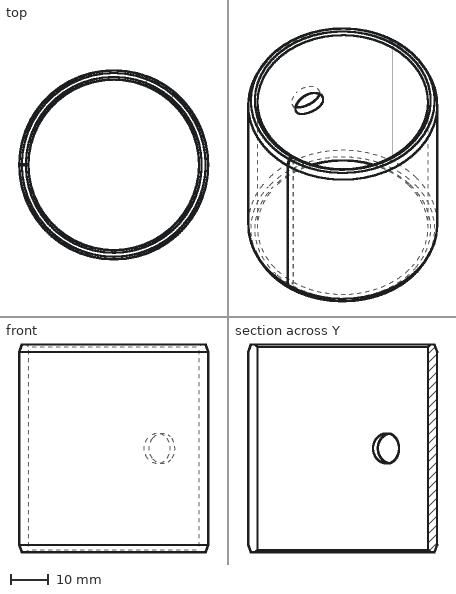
import cadquery as cq

length = 55.0
outer_diameter = 50.0
wall = 2.5
outer_chamfer_height = 2.0
outer_chamfer_depth = 0.7
inner_chamfer_height = 0.65
inner_chamfer_depth = 0.7
slit_width = 0.3
hole_diameter = 8.0
hole_angle = 59.0

outer_radius = outer_diameter / 2
inner_radius = outer_radius - wall


def bushing_sleeve():
    """Revolve the wall section, with chamfered corners at both ends."""
    half = length / 2
    face_outer = outer_radius - outer_chamfer_depth
    face_inner = inner_radius + inner_chamfer_depth
    outer_shoulder = half - outer_chamfer_height
    inner_shoulder = half - inner_chamfer_height
    section = (
        cq.Workplane("XZ")
        .moveTo(inner_radius, -inner_shoulder)
        .lineTo(face_inner, -half)
        .lineTo(face_outer, -half)
        .lineTo(outer_radius, -outer_shoulder)
        .lineTo(outer_radius, outer_shoulder)
        .lineTo(face_outer, half)
        .lineTo(face_inner, half)
        .lineTo(inner_radius, inner_shoulder)
        .close()
    )
    return section.revolve(360, (0, 0), (0, 1))


def slit_cutter():
    """Thin full-length slot through the wall on the -X side."""
    return (
        cq.Workplane("XY")
        .box(outer_diameter, slit_width, 2 * length)
        .translate((-outer_radius, 0, 0))
    )


def hole_cutter():
    """Radial drill at mid-length, through one side of the wall."""
    return (
        cq.Workplane("YZ")
        .circle(hole_diameter / 2)
        .extrude(outer_diameter)
        .rotate((0, 0, 0), (0, 0, 1), hole_angle)
    )


result = bushing_sleeve().cut(slit_cutter()).cut(hole_cutter())